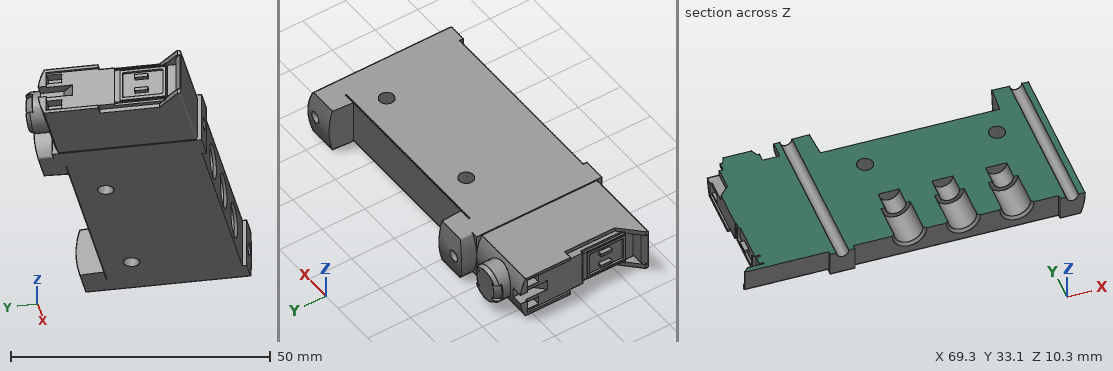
import cadquery as cq


LENGTH = 69.31
DEPTH = 33.1
HEIGHT = 10.25
HALF_HEIGHT = HEIGHT / 2

PLATE_WIDTH = 5.1
NEAR_PLATE_X = 17.15
FAR_PLATE_X = 64.15
BODY_X = NEAR_PLATE_X + PLATE_WIDTH
BODY_FRONT_Y = 0.85
BODY_REAR_Y = 27.57
BODY_REAR_CHAMFER = 0.15
CROWN_CORNER_Y = 32.3
CROWN_FALL = 0.2
HOOK_TIP_REACH = 2.3
HOOK_ROOT_REACH = 2.65
END_BULGE = 0.95
END_CORNER_RADIUS = 0.5
NEAR_BULGE = 1.25
PLATE_HOLE_DIAMETER = 2.46

PORT_FIRST_X = 33.65
PORT_PITCH = 11.0
PORT_COUNT = 3
PORT_DIAMETER = 5.92
PORT_MOUTH_DIAMETER = 7.0
PORT_CHAMFER = (PORT_MOUTH_DIAMETER - PORT_DIAMETER) / 2
PORT_DEPTH = 8.0
PORT_BORE_DIAMETER = 4.2
PORT_BORE_DEPTH = 12.0
MOUNT_DIAMETER = 3.2
MOUNT_FIRST_X = 31.9
MOUNT_PITCH = 27.0
MOUNT_Y = 21.6

HOUSING_HALF_HEIGHT = 4.9
HOUSING_FACE_X = 2.33
HOUSING_STEP_X = 4.28
HOUSING_STEP_Y = 17.55
HOUSING_CORNER_Y = 28.1
HOUSING_CROWN_Y = 29.35
LIP_REAR_Y = 1.55
LIP_SLOPE_END_Y = LIP_REAR_Y + HOUSING_STEP_X
LIP_EDGE_RADIUS = 0.55

INSERT_X = 2.76
INSERT_REAR_Y = 27.7
INSERT_HALF_HEIGHT = 4.27
CONNECTOR_SIDE_HALF_HEIGHT = 4.07

WINDOW_FRONT_Y = 24.75
WINDOW_INNER_Z = 1.96
WINDOW_OUTER_Z = 3.9
WINDOW_DEPTH = 2.0

CHANNEL_HALF_HEIGHT = 1.15
CHANNEL_FRONT_Y = 22.65
CHANNEL_DEPTH = 2.0

CONNECTOR_FRONT_Y = 4.4
CONNECTOR_REAR_Y = 13.3
CONNECTOR_RECESS_REAR_Y = 14.4
CONNECTOR_HALF_HEIGHT = 3.42
CONNECTOR_SURROUND_X = 2.96
CONNECTOR_SURROUND_HALF_HEIGHT = 3.6
CONNECTOR_STEP_X = 3.41
SOCKET_FRONT_Y = 4.9
SOCKET_REAR_Y = 12.85
SOCKET_HALF_HEIGHT = 2.8
SOCKET_DEPTH = 0.5
SOCKET_CORNER_RADIUS = 0.4
PIN_FRONT_Y = 7.8
PIN_REAR_Y = 10.4
PIN_THICKNESS = 0.67
PIN_CENTER_Z = 1.5

LATCH_HALF_HEIGHT = 3.86
LATCH_EDGE_Y = 1.05
LATCH_WALL_Y = 2.0
LATCH_PAD_FRONT_Y = 2.15
LATCH_PAD_REAR_Y = 4.15

BUTTON_X = 9.62
BUTTON_DIAMETER = 8.1
BUTTON_TOP_Y = 32.5
BUTTON_CHAMFER_HEIGHT = 0.85
BUTTON_CHAMFER_WIDTH = 0.45
BUTTON_ROOT_Y = 27.0
BUTTON_NOTCH_HALF_WIDTH = 2.0
BUTTON_NOTCH_FLOOR_Y = 31.1
BUTTON_CORE_BASE_RADIUS = 3.6
BUTTON_CORE_TOP_RADIUS = 2.9

CLEAR = 1.0


def block(x_range, y_range, z_range):
    """Axis-aligned box between pairs of limits."""
    (x0, x1), (y0, y1), (z0, z1) = x_range, y_range, z_range
    return cq.Workplane("XY").box(x1 - x0, y1 - y0, z1 - z0, centered=False).translate((x0, y0, z0))


def centered_block(x_range, y_range, half_height):
    """Box between X and Y limits, symmetric about Z = 0."""
    return block(x_range, y_range, (-half_height, half_height))


def upright(outline, half_height):
    """Closed XY polygon extruded symmetrically about Z = 0."""
    return cq.Workplane("XY").polyline(outline).close().extrude(half_height, both=True)


def rod(x, start_y, end_y, diameter):
    """Cylinder along Y on the mid-thickness plane."""
    plane = cq.Plane(origin=(x, start_y, 0), xDir=(1, 0, 0), normal=(0, 1, 0))
    return cq.Workplane(plane).circle(diameter / 2).extrude(end_y - start_y)


def cone(x, start_y, end_y, start_radius, end_radius):
    """Truncated cone along Y on the mid-thickness plane."""
    base = cq.Vector(x, start_y, 0)
    axis = cq.Vector(0, 1, 0)
    return cq.Workplane(cq.Solid.makeCone(start_radius, end_radius, end_y - start_y, base, axis))


def crown_section(x, crown_y):
    """YZ section of a plate: flat front, bowed rear."""
    return (
        cq.Workplane("YZ", origin=(x, 0, 0))
        .moveTo(CROWN_CORNER_Y, -HALF_HEIGHT)
        .lineTo(0, -HALF_HEIGHT)
        .lineTo(0, HALF_HEIGHT)
        .lineTo(CROWN_CORNER_Y, HALF_HEIGHT)
        .threePointArc((crown_y, 0), (CROWN_CORNER_Y, -HALF_HEIGHT))
        .close()
        .wire()
        .val()
    )


def hooked_plate(outer_x, width, direction):
    """End plate whose rear hook points along `direction` (+1 or -1 in X)."""
    inner_x = outer_x + direction * width
    root_x = inner_x + direction * HOOK_ROOT_REACH
    tip_x = inner_x + direction * HOOK_TIP_REACH
    sections = [crown_section(outer_x, DEPTH - CROWN_FALL), crown_section(root_x, DEPTH)]
    crowned = cq.Workplane(cq.Solid.makeLoft(sections, True))
    outline = upright(
        [
            (outer_x, 0),
            (inner_x, 0),
            (inner_x, BODY_REAR_Y),
            (root_x, BODY_REAR_Y),
            (tip_x, DEPTH),
            (outer_x, DEPTH),
        ],
        HALF_HEIGHT,
    )
    return crowned.intersect(outline)


def bowed_slab(bowed_x, flat_x, bulge, y_range):
    """Slab with a flat end at flat_x and a bowed end reaching bowed_x, corners rounded."""
    corner_x = bowed_x - bulge if bowed_x > flat_x else bowed_x + bulge
    bowed_side = ">X" if bowed_x > flat_x else "<X"
    start_y, end_y = y_range
    slab = (
        cq.Workplane("XZ", origin=(0, start_y, 0))
        .moveTo(flat_x, -HALF_HEIGHT)
        .lineTo(corner_x, -HALF_HEIGHT)
        .threePointArc((bowed_x, 0), (corner_x, HALF_HEIGHT))
        .lineTo(flat_x, HALF_HEIGHT)
        .close()
        .extrude(start_y - end_y)
    )
    return slab.faces(bowed_side).edges("|Y").fillet(END_CORNER_RADIUS)


def near_plate():
    """Plate next to the solenoid, bowed where it stands clear of the housing."""
    plate = hooked_plate(NEAR_PLATE_X, PLATE_WIDTH, 1)
    hook_end_x = BODY_X + HOOK_ROOT_REACH + CLEAR
    rear_range = (HOUSING_CROWN_Y, DEPTH + CLEAR)
    front = centered_block((NEAR_PLATE_X, hook_end_x), (0, HOUSING_CROWN_Y), HALF_HEIGHT)
    rear = bowed_slab(NEAR_PLATE_X, hook_end_x, NEAR_BULGE, rear_range)
    return plate.intersect(front.union(rear))


def far_plate():
    """Plate closing the far end, with a bowed outer side."""
    plate = hooked_plate(LENGTH, LENGTH - FAR_PLATE_X, -1)
    hook_end_x = FAR_PLATE_X - HOOK_ROOT_REACH - CLEAR
    return plate.intersect(bowed_slab(LENGTH, hook_end_x, END_BULGE, (0, DEPTH + CLEAR)))


def port(x):
    """Stepped blind port with a chamfered mouth, entering from the front."""
    mouth_end_y = BODY_FRONT_Y + PORT_CHAMFER
    mouth = cone(x, BODY_FRONT_Y, mouth_end_y, PORT_MOUTH_DIAMETER / 2, PORT_DIAMETER / 2)
    socket = rod(x, BODY_FRONT_Y, BODY_FRONT_Y + PORT_DEPTH, PORT_DIAMETER)
    bore = rod(x, BODY_FRONT_Y, BODY_FRONT_Y + PORT_BORE_DEPTH, PORT_BORE_DIAMETER)
    return socket.union(bore).union(mouth)


def valve_body():
    """Central block with the front ports and the two mounting holes."""
    body = centered_block((BODY_X, FAR_PLATE_X), (BODY_FRONT_Y, BODY_REAR_Y), HALF_HEIGHT)
    for index in range(PORT_COUNT):
        body = body.cut(port(PORT_FIRST_X + index * PORT_PITCH))
    mounts = (
        cq.Workplane("XY")
        .pushPoints([(MOUNT_FIRST_X, MOUNT_Y), (MOUNT_FIRST_X + MOUNT_PITCH, MOUNT_Y)])
        .circle(MOUNT_DIAMETER / 2)
        .extrude(HEIGHT, both=True)
    )
    body = body.cut(mounts)
    rear_edges = body.faces(">Y").edges("|X")
    return rear_edges.chamfer(BODY_REAR_CHAMFER)


def housing_shell():
    """Solenoid housing: pointed front lip, stepped face and bowed rear."""
    profile = upright(
        [
            (0, BODY_FRONT_Y),
            (NEAR_PLATE_X, BODY_FRONT_Y),
            (NEAR_PLATE_X, HOUSING_CROWN_Y),
            (HOUSING_FACE_X, HOUSING_CROWN_Y),
            (HOUSING_FACE_X, HOUSING_STEP_Y),
            (HOUSING_STEP_X, HOUSING_STEP_Y),
            (HOUSING_STEP_X, LIP_SLOPE_END_Y),
            (0, LIP_REAR_Y),
        ],
        HOUSING_HALF_HEIGHT,
    )
    section = (
        cq.Workplane("YZ")
        .moveTo(BODY_FRONT_Y, -HOUSING_HALF_HEIGHT)
        .lineTo(HOUSING_CORNER_Y, -HOUSING_HALF_HEIGHT)
        .threePointArc((HOUSING_CROWN_Y, 0), (HOUSING_CORNER_Y, HOUSING_HALF_HEIGHT))
        .lineTo(BODY_FRONT_Y, HOUSING_HALF_HEIGHT)
        .close()
        .extrude(NEAR_PLATE_X)
    )
    section = section.faces("<Y").edges("|X").fillet(LIP_EDGE_RADIUS)
    return profile.intersect(section)


def face_windows():
    """Pair of rectangular recesses near the rear of the insert."""
    upper = block(
        (INSERT_X, INSERT_X + WINDOW_DEPTH),
        (WINDOW_FRONT_Y, INSERT_REAR_Y),
        (WINDOW_INNER_Z, WINDOW_OUTER_Z),
    )
    return upper.union(upper.mirror("XY"))


def rear_channel():
    """Mid-plane channel with a 45-degree ramp, open to the rear."""
    floor_x = INSERT_X + CHANNEL_DEPTH
    return upright(
        [
            (INSERT_X, CHANNEL_FRONT_Y),
            (floor_x, CHANNEL_FRONT_Y + CHANNEL_DEPTH),
            (floor_x, HOUSING_CROWN_Y + CLEAR),
            (-CLEAR, HOUSING_CROWN_Y + CLEAR),
            (-CLEAR, CHANNEL_FRONT_Y),
        ],
        CHANNEL_HALF_HEIGHT,
    )


def latch_pocket():
    """Pocket from the front lip to the connector, with a 45-degree lead-in on the lip."""
    return upright(
        [
            (0, LATCH_EDGE_Y),
            (LATCH_WALL_Y - LATCH_EDGE_Y, LATCH_WALL_Y),
            (HOUSING_STEP_X, LATCH_WALL_Y),
            (HOUSING_STEP_X, CONNECTOR_FRONT_Y),
            (0, CONNECTOR_FRONT_Y),
        ],
        LATCH_HALF_HEIGHT,
    )


def connector():
    """Raised socket with its stepped surround and two contact pins."""
    surround_y = (CONNECTOR_FRONT_Y, CONNECTOR_RECESS_REAR_Y)
    block_y = (CONNECTOR_FRONT_Y, CONNECTOR_REAR_Y)
    step = centered_block((CONNECTOR_STEP_X, HOUSING_STEP_X), surround_y, CONNECTOR_SIDE_HALF_HEIGHT)
    surround = centered_block(
        (CONNECTOR_SURROUND_X, HOUSING_STEP_X), surround_y, CONNECTOR_SURROUND_HALF_HEIGHT
    )
    socket_body = centered_block((INSERT_X, HOUSING_STEP_X), block_y, CONNECTOR_HALF_HEIGHT)
    socket_floor_x = INSERT_X + SOCKET_DEPTH
    socket = centered_block(
        (INSERT_X, socket_floor_x), (SOCKET_FRONT_Y, SOCKET_REAR_Y), SOCKET_HALF_HEIGHT
    )
    socket = socket.edges("|X").fillet(SOCKET_CORNER_RADIUS)
    shape = step.union(surround).union(socket_body).cut(socket)
    for side in (-1, 1):
        pin = centered_block(
            (HOUSING_FACE_X, socket_floor_x), (PIN_FRONT_Y, PIN_REAR_Y), PIN_THICKNESS / 2
        )
        shape = shape.union(pin.translate((0, 0, side * PIN_CENTER_Z)))
    return shape


def button():
    """Override button on the housing rear, notched on both X sides around a conical core."""
    shape = rod(BUTTON_X, BUTTON_ROOT_Y, BUTTON_TOP_Y, BUTTON_DIAMETER)
    shape = shape.faces(">Y").chamfer(BUTTON_CHAMFER_HEIGHT, BUTTON_CHAMFER_WIDTH)
    notch = centered_block(
        (BUTTON_X - BUTTON_DIAMETER, BUTTON_X + BUTTON_DIAMETER),
        (BUTTON_NOTCH_FLOOR_Y, BUTTON_TOP_Y),
        BUTTON_NOTCH_HALF_WIDTH,
    )
    core = cone(
        BUTTON_X,
        BUTTON_NOTCH_FLOOR_Y,
        BUTTON_TOP_Y,
        BUTTON_CORE_BASE_RADIUS,
        BUTTON_CORE_TOP_RADIUS,
    )
    return shape.cut(notch.cut(core))


def solenoid():
    """Complete solenoid end: housing, recessed insert, connector and button."""
    recess = centered_block(
        (HOUSING_FACE_X, INSERT_X), (HOUSING_STEP_Y, INSERT_REAR_Y), INSERT_HALF_HEIGHT
    )
    insert_shelf = centered_block(
        (INSERT_X, HOUSING_STEP_X),
        (CONNECTOR_RECESS_REAR_Y, HOUSING_STEP_Y),
        CONNECTOR_SIDE_HALF_HEIGHT,
    )
    clearance = centered_block(
        (0, HOUSING_STEP_X), (CONNECTOR_FRONT_Y, LIP_SLOPE_END_Y), CONNECTOR_SIDE_HALF_HEIGHT
    )
    latch_pad = centered_block(
        (CONNECTOR_STEP_X, HOUSING_STEP_X), (LATCH_PAD_FRONT_Y, LATCH_PAD_REAR_Y), LATCH_HALF_HEIGHT
    )
    shape = housing_shell().cut(recess).cut(latch_pocket()).cut(clearance)
    shape = shape.union(latch_pad).union(insert_shelf).union(connector())
    return shape.union(button()).cut(face_windows()).cut(rear_channel())


def plate_holes():
    """Through holes along Y at the middle of each end plate."""
    near = rod(NEAR_PLATE_X + PLATE_WIDTH / 2, -CLEAR, DEPTH + CLEAR, PLATE_HOLE_DIAMETER)
    far = rod(FAR_PLATE_X + PLATE_WIDTH / 2, -CLEAR, DEPTH + CLEAR, PLATE_HOLE_DIAMETER)
    return near.union(far)


result = valve_body().union(near_plate()).union(far_plate()).union(solenoid()).cut(plate_holes())